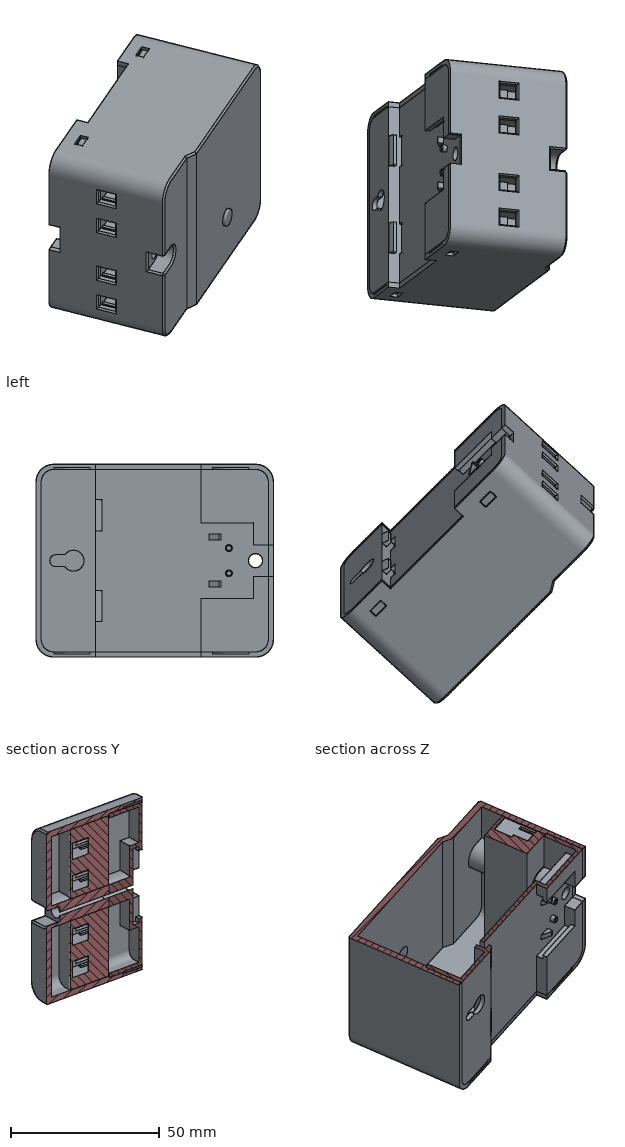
import cadquery as cq
import math

LENGTH = 80.0
HEIGHT = 65.0
FACE_X = 44.2
LOW_FACE_X = 42.1
SLOPE_TOP_Y = -16.7
SLOPE_LOW_Y = -20.2
CORNER_R = 6.0
EDGE_CHAMFER = 0.6
WALL = 2.4
SEAT_INSET = 1.8
BASE_DEPTH = 14.4
SHEET = 1.6
HALF_L = LENGTH / 2
HALF_H = HEIGHT / 2

SCREW_Y = -33.9
SCREW_HOLE_D = 4.6
SCREW_HEAD_D = 7.2
SCREW_SEAT_X = 36.1
POST_WALL = 1.2
POST_D = SCREW_HEAD_D + 2 * POST_WALL
NOTCH_FLARE = 0.6

WINDOW_X = 21.0
WINDOW_W = 7.2
WINDOW_H = 6.0
WINDOW_FLARE = 0.5
FLARE_DEPTH = 0.6
WINDOW_ZS = [-22.2, -10.1, 10.1, 22.2]

LATCH_YS = [27.8, -25.6]
LATCH_SLOT_L = 12.2
LATCH_H = 0.6
LATCH_TOP_X = 4.8
LATCH_END_X = 8.0
LATCH_TOP_L = 5.1
LATCH_WINDOW_X0 = 4.5
LATCH_WINDOW_X1 = 7.3
LATCH_CORNER_R = 1.6

CHANNEL_DEPTH = 4.0
RAIL_TOP_Y = 19.9
RAIL_LOW_Y = -15.5
RECESS_HALF_Z = 12.7
RECESS_END_Y = -33.3
NOTCH_HALF_Z = 5.3
GROOVE_LIP = 1.6
GROOVE_DEPTH = 1.6

HOOK_Z = 15.3
HOOK_L = 10.5
HOOK_REACH = 2.2
HOOK_X0 = 0.2
HOOK_X1 = 2.2
HOOK_SLANT = 0.9
HOOK_CORNER_R = 0.5

STOP_Z = 7.9
STOP_W = 2.0
STOP_H = 1.9
STOP_START_Y = -18.3
STOP_PEAK_Y = -21.7
STOP_END_Y = -22.3
PIN_Y = -25.0
PIN_Z = 4.2
PIN_D = 2.3
PIN_H = 1.9
PIN_CHAMFER = 0.3

KEY_HEAD_Y = 27.4
KEY_HEAD_D = 7.0
KEY_SLOT_W = 4.0
KEY_END_Y = 35.4

BUTTON_Y = 9.1
BUTTON_Z = -13.0
BUTTON_D = 6.1
BUTTON_PROUD = 1.1
BUTTON_FILLET = 0.5

BLOCK_X0 = 14.6
BLOCK_X1 = 31.6
BLOCK_BACK_Y = -26.4
CELL_END_X = 30.4
CELL_DEPTH = 5.6
CELL_DROP = 1.0
LUG_GAP = 1.0
LUG_L = 1.1
LUG_H = 0.6
LUG_CLEARANCE = 0.6
RELIEF_DEPTH = 1.2


def box(x0, x1, y0, y1, z0, z1):
    """Box between opposite corners."""
    return cq.Workplane("XY").box(x1 - x0, y1 - y0, z1 - z0, centered=False).translate((x0, y0, z0))


def x_cylinder(diameter, x0, x1, y, z=0.0):
    """Cylinder along X."""
    return cq.Workplane("YZ", origin=(x0, 0, 0)).center(y, z).circle(diameter / 2).extrude(x1 - x0)


def profile_block(inset, x0):
    """Stepped-front block, inset from the outer outline and starting at x0."""
    slope_angle = math.atan2(FACE_X - LOW_FACE_X, SLOPE_TOP_Y - SLOPE_LOW_Y)
    shift = inset * math.tan(slope_angle / 2)
    outline = [
        (x0, inset - HALF_L),
        (LOW_FACE_X - inset, inset - HALF_L),
        (LOW_FACE_X - inset, SLOPE_LOW_Y + shift),
        (FACE_X - inset, SLOPE_TOP_Y + shift),
        (FACE_X - inset, HALF_L - inset),
        (x0, HALF_L - inset),
    ]
    bottom = cq.Workplane("XY", origin=(0, 0, inset - HALF_H))
    block = bottom.polyline(outline).close().extrude(HEIGHT - 2 * inset)
    return block.edges("|X").fillet(CORNER_R - inset)


def rear_plug(inset, x0, x1):
    """Rounded rectangular slab along X, inset from the outer outline."""
    slab = cq.Workplane("YZ", origin=(x0, 0, 0)).rect(LENGTH - 2 * inset, HEIGHT - 2 * inset).extrude(x1 - x0)
    return slab.edges("|X").fillet(CORNER_R - inset)


def flare(x_mid, width, z_mid, height, amount):
    """Tapered lead-in cut into the -Y wall, widest at the outside."""
    taper = math.degrees(math.atan2(amount, FLARE_DEPTH))
    return (
        cq.Workplane("XZ", origin=(x_mid, -HALF_L, z_mid))
        .rect(width, height)
        .extrude(-FLARE_DEPTH, taper=taper)
    )


def screw_post(x0, x1):
    """Outer shape of the screw post: round inside and joined to the -Y wall at full width."""
    radius = POST_D / 2
    return x_cylinder(POST_D, x0, x1, SCREW_Y).union(box(x0, x1, -HALF_L, SCREW_Y, -radius, radius))


def screw_notch():
    """U-shaped opening that gives access to the mounting screw head."""
    radius = SCREW_HEAD_D / 2
    channel = box(SCREW_SEAT_X, FACE_X, -HALF_L, SCREW_Y, -radius, radius)
    bore = x_cylinder(SCREW_HEAD_D, SCREW_SEAT_X, FACE_X, SCREW_Y)
    depth = LOW_FACE_X - SCREW_SEAT_X + NOTCH_FLARE
    lead_in = flare(LOW_FACE_X, 2 * depth, 0, SCREW_HEAD_D + 2 * NOTCH_FLARE, NOTCH_FLARE)
    return channel.union(bore).union(lead_in)


def latch_slot(y, side):
    """Slot inside the Z wall for a base latch, with its window to the outside."""
    seat_z = HALF_H - SEAT_INSET
    half = LATCH_SLOT_L / 2
    slot = box(0, LATCH_END_X, y - half, y + half, seat_z, seat_z + LATCH_H)
    half = LATCH_TOP_L / 2
    window = box(LATCH_WINDOW_X0, LATCH_WINDOW_X1, y - half, y + half, seat_z, HALF_H)
    cut = slot.union(window)
    return cut if side > 0 else cut.mirror("XY")


def front_outline(shell):
    """Edges around the stepped front, without the creases between its faces."""
    facing_limit = math.cos(math.radians(60))
    ahead_of_seat = (SCREW_SEAT_X + LOW_FACE_X) / 2
    front = [
        face for face in shell.faces().vals()
        if face.normalAt().x > facing_limit and face.Center().x > ahead_of_seat
    ]
    edges = [edge for face in front for edge in face.outerWire().Edges()]
    outline = [edge for edge in edges if sum(edge.isSame(other) for other in edges) == 1]
    return shell.newObject(outline)


def make_housing():
    """Hollow shell, open at the rear, with a bored post around the mounting screw."""
    shell = front_outline(profile_block(0, 0).cut(screw_notch())).chamfer(EDGE_CHAMFER)
    shell = shell.cut(profile_block(WALL, BASE_DEPTH).cut(screw_post(BASE_DEPTH, FACE_X)))
    shell = shell.cut(rear_plug(SEAT_INSET, 0, BASE_DEPTH))
    shell = shell.cut(x_cylinder(SCREW_HOLE_D, BASE_DEPTH, SCREW_SEAT_X, SCREW_Y))

    shell = shell.cut(box(0, CHANNEL_DEPTH, -HALF_L, SCREW_Y, -NOTCH_HALF_Z, NOTCH_HALF_Z))
    shell = shell.cut(box(0, CHANNEL_DEPTH, RAIL_LOW_Y, RAIL_TOP_Y, -HALF_H, HALF_H))

    half_w = WINDOW_W / 2 - WINDOW_FLARE
    half_h = WINDOW_H / 2 - WINDOW_FLARE
    for z in WINDOW_ZS:
        shell = shell.cut(flare(WINDOW_X, WINDOW_W, z, WINDOW_H, WINDOW_FLARE))
        opening = box(WINDOW_X - half_w, WINDOW_X + half_w, -HALF_L, WALL - HALF_L, z - half_h, z + half_h)
        shell = shell.cut(opening)

    for y in LATCH_YS:
        for side in (-1, 1):
            shell = shell.cut(latch_slot(y, side))
    return shell.cut(x_cylinder(BUTTON_D, FACE_X - WALL, FACE_X, BUTTON_Y, BUTTON_Z))


def latch(y, side):
    """Ramped bump with a flat catch, standing on the Z edge of the base."""
    half_base = LATCH_SLOT_L / 2
    half_top = LATCH_TOP_L / 2
    seat_z = HALF_H - SEAT_INSET
    outline = [
        (LATCH_END_X, y - half_base),
        (LATCH_TOP_X, y - half_top),
        (LATCH_TOP_X, y + half_top),
        (LATCH_END_X, y + half_base),
    ]
    bump = cq.Workplane("XY", origin=(0, 0, seat_z)).polyline(outline).close().extrude(LATCH_H)
    bump = bump.edges("|Z and <X").fillet(LATCH_CORNER_R)
    return bump if side > 0 else bump.mirror("XY")


def rail_hook(side):
    """Hook that grips one edge of the rail; its rear face slants to make a lead-in."""
    tip_y = RAIL_TOP_Y - HOOK_REACH
    outline = [
        (HOOK_X0, RAIL_TOP_Y),
        (HOOK_X1, RAIL_TOP_Y),
        (HOOK_X1, tip_y),
        (HOOK_X0 + HOOK_SLANT, tip_y),
    ]
    z0 = side * HOOK_Z - HOOK_L / 2
    hook = cq.Workplane("XY", origin=(0, 0, z0)).polyline(outline).close().extrude(HOOK_L)
    return hook.faces("<Y").edges("|X").fillet(HOOK_CORNER_R)


def clip_stop(side):
    """Wedge that rises toward -Y and ends in a steep stop."""
    floor = CHANNEL_DEPTH
    outline = [
        (floor, STOP_START_Y),
        (floor - STOP_H, STOP_PEAK_Y),
        (floor - STOP_H, STOP_END_Y),
        (floor, STOP_END_Y),
    ]
    z0 = side * STOP_Z - STOP_W / 2
    return cq.Workplane("XY", origin=(0, 0, z0)).polyline(outline).close().extrude(STOP_W)


def guide_pin(side):
    """Short pin on the recess floor with a chamfered tip."""
    pin = x_cylinder(PIN_D, CHANNEL_DEPTH - PIN_H, CHANNEL_DEPTH, PIN_Y, side * PIN_Z)
    return pin.faces("<X").chamfer(PIN_CHAMFER)


def keyhole():
    """Hanging hole: round head with a narrower slot toward +Y."""
    slot_center_y = KEY_END_Y - KEY_SLOT_W / 2
    floor_x = CHANNEL_DEPTH + SHEET
    head = x_cylinder(KEY_HEAD_D, 0, floor_x, KEY_HEAD_Y)
    slot_end = x_cylinder(KEY_SLOT_W, 0, floor_x, slot_center_y)
    slot = box(0, floor_x, KEY_HEAD_Y, slot_center_y, -KEY_SLOT_W / 2, KEY_SLOT_W / 2)
    return head.union(slot_end).union(slot)


def base_hollow():
    """Space inside the base: a tray plus a pocket in each foot."""
    inset = SEAT_INSET + SHEET
    floor_x = CHANNEL_DEPTH + SHEET
    tray = rear_plug(inset, floor_x, BASE_DEPTH).cut(screw_post(floor_x, BASE_DEPTH))
    feet = rear_plug(inset, SHEET, floor_x)
    upper_foot = box(SHEET, floor_x, RAIL_TOP_Y + SHEET, HALF_L, -HALF_H, HALF_H)
    groove_wall_z = RECESS_HALF_Z + GROOVE_DEPTH + SHEET
    lower_foot = box(SHEET, floor_x, -HALF_L, RAIL_LOW_Y - SHEET, groove_wall_z, HALF_H)
    pockets = upper_foot.union(lower_foot).union(lower_foot.mirror("XY"))
    return tray.union(feet.intersect(pockets))


def make_base():
    """Rear cover with the rail channel, the clip recess and all snap details."""
    base = rear_plug(SEAT_INSET, 0, BASE_DEPTH).cut(base_hollow())

    groove_half_z = RECESS_HALF_Z + GROOVE_DEPTH
    base = base.cut(box(0, CHANNEL_DEPTH, RAIL_LOW_Y, RAIL_TOP_Y, -HALF_H, HALF_H))
    base = base.cut(box(0, CHANNEL_DEPTH, RECESS_END_Y, RAIL_LOW_Y, -RECESS_HALF_Z, RECESS_HALF_Z))
    base = base.cut(box(GROOVE_LIP, CHANNEL_DEPTH, RECESS_END_Y, RAIL_LOW_Y, -groove_half_z, groove_half_z))
    base = base.cut(box(0, CHANNEL_DEPTH, -HALF_L, RECESS_END_Y, -NOTCH_HALF_Z, NOTCH_HALF_Z))

    for side in (-1, 1):
        base = base.union(rail_hook(side)).union(clip_stop(side)).union(guide_pin(side))
        for y in LATCH_YS:
            base = base.union(latch(y, side))
        z0 = side * HOOK_Z - HOOK_L / 2
        base = base.cut(
            box(CHANNEL_DEPTH, CHANNEL_DEPTH + SHEET, RAIL_TOP_Y - HOOK_REACH, RAIL_TOP_Y, z0, z0 + HOOK_L)
        )
    return base.cut(keyhole()).cut(x_cylinder(SCREW_HOLE_D, 0, BASE_DEPTH, SCREW_Y))


def make_button():
    """Round push button set in the upper front face."""
    button = x_cylinder(BUTTON_D, FACE_X - WALL, FACE_X + BUTTON_PROUD, BUTTON_Y, BUTTON_Z)
    return button.faces(">X").edges().fillet(BUTTON_FILLET)


def terminal_cell(z):
    """Wire space behind one window, stepped at the back, with a low lug left on its floor."""
    half_w = WINDOW_W / 2 - WINDOW_FLARE
    half_h = WINDOW_H / 2 - WINDOW_FLARE
    start_x = WINDOW_X - half_w
    lug_end_x = WINDOW_X + half_w - LUG_CLEARANCE
    front_y = WALL - HALF_L
    back_y = front_y + CELL_DEPTH
    lug_y = front_y + LUG_GAP
    floor_z = z - half_h - CELL_DROP
    top_z = z + half_h
    cell = box(start_x, CELL_END_X, front_y, back_y, floor_z, top_z)
    relief = box(lug_end_x, CELL_END_X, back_y, back_y + RELIEF_DEPTH, floor_z, top_z)
    lug = box(start_x, lug_end_x, lug_y, lug_y + LUG_L, floor_z, floor_z + LUG_H)
    return cell.union(relief).cut(lug)


def make_terminal_block():
    """Bar that fills the housing behind the windows, with one cell for each of them."""
    half_z = HALF_H - WALL
    block = box(BLOCK_X0, BLOCK_X1, WALL - HALF_L, BLOCK_BACK_Y, -half_z, half_z)
    block = block.faces("<Y").edges("|X").fillet(CORNER_R - WALL)
    for z in WINDOW_ZS:
        block = block.cut(terminal_cell(z))
    return block.cut(screw_post(BLOCK_X0, BLOCK_X1))


housing = make_housing()
base = make_base()
button = make_button()
terminal_block = make_terminal_block()

result = cq.Compound.makeCompound([housing.val(), base.val(), button.val(), terminal_block.val()])